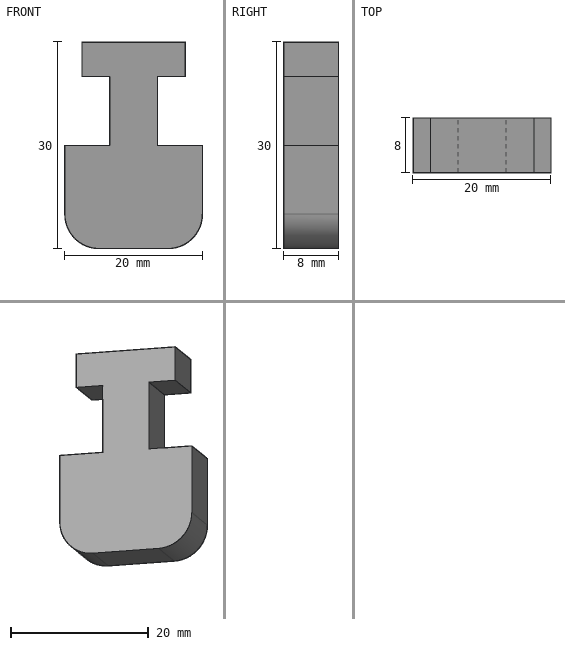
import cadquery as cq

height = 30.0
thickness = 8.0

body_width = 20.0
body_height = 15.0
corner_radius = 5.0

bar_width = 15.0
bar_height = 5.0

neck_width = 7.0
neck_height = height - body_height - bar_height


def centred_block(width, block_height, bottom):
    """Full-thickness block, centred on X and Y, standing on the given height."""
    return (
        cq.Workplane("XY", origin=(0, 0, bottom))
        .box(width, thickness, block_height, centered=(True, True, False))
    )


body = centred_block(body_width, body_height, 0).edges("|Y and <Z").fillet(corner_radius)
neck = centred_block(neck_width, neck_height, body_height)
crossbar = centred_block(bar_width, bar_height, body_height + neck_height)

result = body.union(neck).union(crossbar)